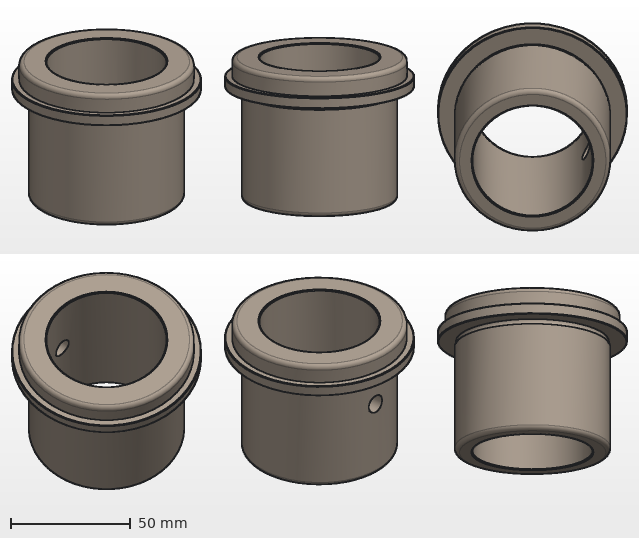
import cadquery as cq

total_height = 61.0
flange_diameter = 79.0
head_diameter = 73.0
body_diameter = 65.0
bore_diameter = 50.0
flange_top = 52.8
flange_thickness = 4.65
relief_height = 2.2
relief_depth = 0.7
relief_top_depth = 0.55
relief_deepest_drop = 0.6
rim_fillet = 2.0
flange_chamfer = 0.3
bore_chamfer = 0.5
oil_hole_diameter = 8.0
oil_hole_height = 34.05

head_radius = head_diameter / 2
body_radius = body_diameter / 2
flange_radius = flange_diameter / 2
flange_bottom = flange_top - flange_thickness
relief_bottom = flange_bottom - relief_height


def cylinder(radius, bottom, top):
    return cq.Workplane("XY").workplane(offset=bottom).circle(radius).extrude(top - bottom)


body = cylinder(body_radius, 0, flange_top).faces("<Z").edges().fillet(rim_fillet)
flange = cylinder(flange_radius, flange_bottom, flange_top).edges("%CIRCLE").chamfer(flange_chamfer)
head = cylinder(head_radius, flange_bottom, total_height).faces(">Z").edges().fillet(rim_fillet)

relief = (
    cq.Workplane("XZ")
    .moveTo(body_radius, relief_bottom)
    .threePointArc(
        (body_radius - relief_depth, flange_bottom - relief_deepest_drop),
        (body_radius - relief_top_depth, flange_bottom),
    )
    .lineTo(body_radius, flange_bottom)
    .close()
    .revolve(360, (0, 0, 0), (0, 1, 0))
)
outside = body.cut(relief).union(flange).union(head)

bore = cylinder(bore_diameter / 2, 0, total_height)
bushing = outside.cut(bore)
mouth_edges = cq.selectors.RadiusNthSelector(0)
bushing = bushing.faces("<Z or >Z").edges(mouth_edges).chamfer(bore_chamfer)

oil_hole = (
    cq.Workplane("XZ", origin=(0, 0, oil_hole_height))
    .circle(oil_hole_diameter / 2)
    .extrude(-flange_radius)
)
result = bushing.cut(oil_hole)